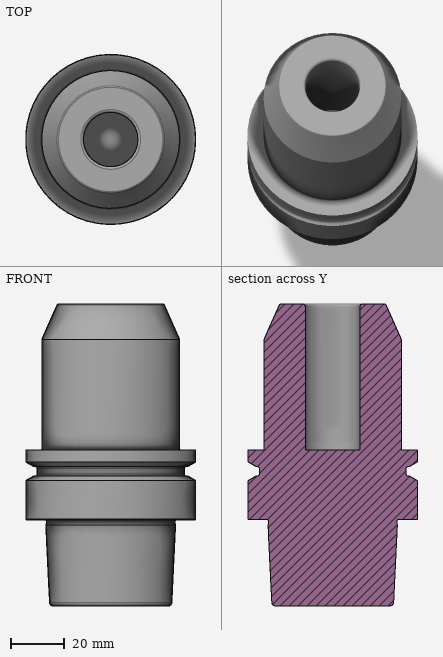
import cadquery as cq

total_height = 111.9

shank_bottom_radius = 22.6
shank_top_radius = 24.1
shank_top_z = 30.1
shank_edge_round = 1.3

neck_radius = 23.8
neck_bottom_z = 30.8
neck_fillet = 0.5
neck_root_step = shank_top_radius - neck_radius
neck_root_height = neck_bottom_z - shank_top_z
neck_root_radius = (neck_root_step**2 + neck_root_height**2) / (2 * neck_root_step)

collar_diameter = 63.0
collar_radius = collar_diameter / 2
collar_bottom_z = 31.9
collar_top_z = 57.9
collar_chamfer = 0.3
groove_center_z = 49.9
groove_mouth_width = 6.9
groove_throat_width = 3.5
groove_throat_radius = 28.5
groove_floor_radius = 27.3
groove_fillet = 0.7

body_radius = 25.5
body_base_fillet = 0.3
nose_start_z = 98.8
nose_end_radius = 19.7
nose_edge_round = 0.6

bore_radius = 10.1
bore_depth = total_height - collar_top_z
bore_mouth_round = 1.0


def revolve_profile(outline):
    """Turn a closed outline of (radius, height) about the Z axis."""
    return outline.close().revolve(360, (0, 0, 0), (0, 1, 0))


def make_shank():
    shank = revolve_profile(
        cq.Workplane("XZ")
        .lineTo(shank_bottom_radius, 0)
        .lineTo(shank_top_radius, shank_top_z)
        .radiusArc((neck_radius, neck_bottom_z), neck_root_radius)
        .lineTo(neck_radius, collar_bottom_z)
        .lineTo(0, collar_bottom_z)
    )
    return shank.faces("<Z").edges().fillet(shank_edge_round)


def make_collar():
    collar = (
        cq.Workplane("XY", origin=(0, 0, collar_bottom_z))
        .circle(collar_radius)
        .extrude(collar_top_z - collar_bottom_z)
    )
    return collar.faces("<Z").edges().chamfer(collar_chamfer).cut(make_groove())


def make_groove():
    """Ring cutter: straight slot with rounded floor corners and a flared mouth."""
    half_mouth = groove_mouth_width / 2
    half_throat = groove_throat_width / 2
    slot = (
        cq.Workplane("XY", origin=(0, 0, groove_center_z - half_throat))
        .circle(collar_radius)
        .circle(groove_floor_radius)
        .extrude(groove_throat_width)
    )
    floor_edges = cq.selectors.RadiusNthSelector(0)
    slot = slot.edges(floor_edges).fillet(groove_fillet)
    flare = revolve_profile(
        cq.Workplane("XZ", origin=(0, 0, groove_center_z))
        .moveTo(groove_throat_radius, -half_throat)
        .lineTo(collar_radius, -half_mouth)
        .lineTo(collar_radius, half_mouth)
        .lineTo(groove_throat_radius, half_throat)
    )
    return slot.union(flare)


def make_body():
    body = revolve_profile(
        cq.Workplane("XZ")
        .moveTo(0, collar_top_z)
        .lineTo(body_radius, collar_top_z)
        .lineTo(body_radius, nose_start_z)
        .lineTo(nose_end_radius, total_height)
        .lineTo(0, total_height)
    )
    return body.faces(">Z").edges().fillet(nose_edge_round)


def make_root_fillet(radius, root_z, fillet, direction):
    """Ring that rounds the corner between a cylinder and a flat collar face."""
    tip_z = root_z + direction * fillet
    ring = cq.Workplane("XZ").moveTo(radius - fillet, root_z).lineTo(radius + fillet, root_z)
    ring = ring.radiusArc((radius, tip_z), direction * fillet).lineTo(radius - fillet, tip_z)
    return revolve_profile(ring)


def make_bore():
    mouth_radius = bore_radius + bore_mouth_round
    floor_z = total_height - bore_depth
    return revolve_profile(
        cq.Workplane("XZ")
        .moveTo(0, floor_z)
        .lineTo(bore_radius, floor_z)
        .lineTo(bore_radius, total_height - bore_mouth_round)
        .radiusArc((mouth_radius, total_height), bore_mouth_round)
        .lineTo(0, total_height)
    )


result = (
    make_shank()
    .union(make_collar())
    .union(make_body())
    .union(make_root_fillet(neck_radius, collar_bottom_z, neck_fillet, -1))
    .union(make_root_fillet(body_radius, collar_top_z, body_base_fillet, 1))
    .cut(make_bore())
)